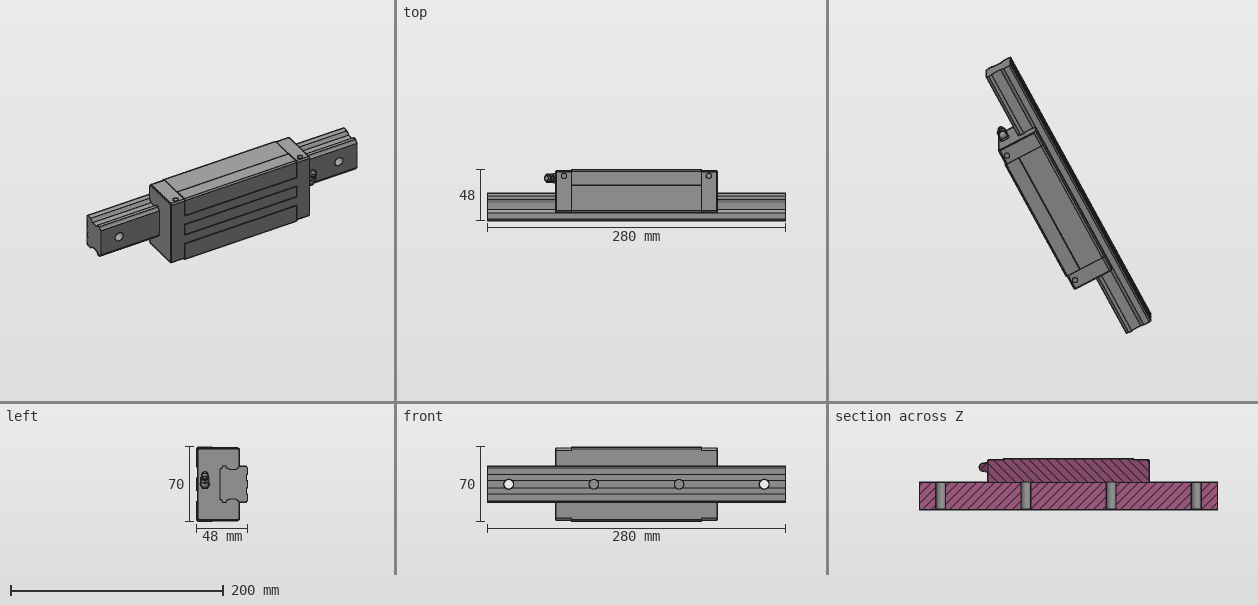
import cadquery as cq
import math


rail_length = 280.0
rail_height = 26.0
rail_half_width = 17.0
rail_foot_chamfer = 1.5
rail_foot_top = 7.3
rail_neck_half_width = 14.0
rail_neck_bottom = 10.6
rail_neck_top = 16.4
rail_lip_half_width = 14.7
rail_lip_height = 18.7
rail_head_bottom = 20.1
rail_head_top = 23.3
rail_top_half_width = 14.0
race_sag = 0.5
rail_hole_diameter = 9.0
rail_hole_pitch = 80.0
rail_hole_count = 4
underside_groove_inner = 3.7
underside_groove_outer = 9.1
underside_groove_depth = 0.8

carriage_length = 152.0
carriage_top = 48.0
carriage_bottom = 7.6
carriage_bottom_chamfer_height = 1.9
block_length = 122.0
block_half_width = 35.0
block_skirt_half_width = 34.4
block_step_bottom = 33.0
block_step_top = 33.5
block_top_chamfer = 1.5
block_bottom_chamfer_width = 1.2
top_groove_inner = 6.0
top_groove_outer = 16.0
top_groove_depth = 0.8
cap_top = carriage_top - top_groove_depth
cap_half_width = 34.1
cap_top_chamfer = 1.5
cap_bottom_chamfer_width = 2.5
cap_face_chamfer = 0.8
cap_length = (carriage_length - block_length) / 2
plug_recess_diameter = 5.0
plug_recess_depth = 0.5
plug_x = 68.0
plug_y = 42.2

nipple_y = 40.0
nipple_hex_flats = 8.0
nipple_hex_thickness = 2.0
nipple_ball_radius = 3.9
nipple_neck_radius = 3.7
nipple_elbow_reach = 4.0
nipple_head_angle = 67.0
nipple_collar_bottom = 2.8
nipple_collar_top = 5.8
nipple_waist_radius = 2.6
nipple_waist_top = 7.0
nipple_head_radius = 3.2
nipple_head_top = 9.3
nipple_tip_radius = 2.1
nipple_tip_top = 11.9


def race_arc(start, end):
    """Midpoint of a shallow concave race between two (z, y) points of the rail's +Z side."""
    chord_z = end[0] - start[0]
    chord_y = end[1] - start[1]
    chord = math.hypot(chord_z, chord_y)
    middle_z = (start[0] + end[0]) / 2 - race_sag * chord_y / chord
    middle_y = (start[1] + end[1]) / 2 + race_sag * chord_z / chord
    return middle_z, middle_y


def along_x(profile, length):
    """Extrude a closed (z, y) sketch along X, centred on X = 0."""
    return profile.extrude(length / 2, both=True)


def side_plane():
    """Sketch plane across the guide: local x is +Z, local y is +Y."""
    return cq.Workplane(cq.Plane(origin=(0, 0, 0), xDir=(0, 0, 1), normal=(-1, 0, 0)))


def symmetric_prism(right_side, length):
    """Prism along X from the (z, y) points of the +Z side, listed upward and mirrored to -Z."""
    left_side = [(-z, y) for z, y in reversed(right_side)]
    return along_x(side_plane().polyline(right_side + left_side).close(), length)


def slot_strip(inner, outer, y_low, y_high, length):
    """Two mirrored rectangular strips along X between |Z| = inner and outer."""
    return along_x(
        side_plane()
        .pushPoints([(side * (inner + outer) / 2, (y_low + y_high) / 2) for side in (-1, 1)])
        .rect(outer - inner, y_high - y_low),
        length,
    )


def rail_solid(length):
    """Rail section without holes or underside grooves."""
    lip = (rail_lip_half_width, rail_lip_height)
    head_low = (rail_half_width, rail_head_bottom)
    head_high = (rail_half_width, rail_head_top)
    top_corner = (rail_top_half_width, rail_height)
    half = along_x(
        side_plane()
        .moveTo(0, 0)
        .lineTo(rail_half_width - rail_foot_chamfer, 0)
        .lineTo(rail_half_width, rail_foot_chamfer)
        .lineTo(rail_half_width, rail_foot_top)
        .lineTo(rail_neck_half_width, rail_neck_bottom)
        .lineTo(rail_neck_half_width, rail_neck_top)
        .lineTo(*lip)
        .threePointArc(race_arc(lip, head_low), head_low)
        .lineTo(*head_high)
        .threePointArc(race_arc(head_high, top_corner), top_corner)
        .lineTo(0, rail_height)
        .close(),
        length,
    )
    return half.union(half.mirror("XY")).clean()


def make_rail():
    """Rail with two shallow underside grooves and a row of mounting holes along Y."""
    rail = rail_solid(rail_length)
    rail = rail.cut(
        slot_strip(
            underside_groove_inner, underside_groove_outer, 0, underside_groove_depth, rail_length
        )
    )
    first_hole = -rail_hole_pitch * (rail_hole_count - 1) / 2
    holes = (
        cq.Workplane("XZ")
        .pushPoints([(first_hole + i * rail_hole_pitch, 0) for i in range(rail_hole_count)])
        .circle(rail_hole_diameter / 2)
        .extrude(-rail_height)
    )
    return rail.cut(holes)


def make_block():
    """Steel block with a stepped side and two shallow grooves in its top face."""
    right_side = [
        (block_skirt_half_width - block_bottom_chamfer_width, carriage_bottom),
        (block_skirt_half_width, carriage_bottom + carriage_bottom_chamfer_height),
        (block_skirt_half_width, block_step_bottom),
        (block_half_width, block_step_top),
        (block_half_width, carriage_top - block_top_chamfer),
        (block_half_width - block_top_chamfer, carriage_top),
    ]
    block = symmetric_prism(right_side, block_length)
    return block.cut(
        slot_strip(top_groove_inner, top_groove_outer, cap_top, carriage_top, block_length)
    )


def make_cap(side):
    """End cap on the -X (side = -1) or +X (side = 1) end of the block."""
    top_right = [
        (cap_half_width, cap_top - cap_top_chamfer),
        (cap_half_width - cap_top_chamfer, cap_top),
    ]
    square_right = [(cap_half_width, carriage_bottom)]
    chamfered_right = [
        (cap_half_width - cap_bottom_chamfer_width, carriage_bottom),
        (cap_half_width, carriage_bottom + carriage_bottom_chamfer_height),
    ]
    cap = symmetric_prism(square_right + top_right, cap_length)
    end_face = cap.faces("<X" if side < 0 else ">X")
    cap = end_face.edges("not <Y").chamfer(cap_face_chamfer)
    cap = cap.intersect(symmetric_prism(chamfered_right + top_right, cap_length))
    cap = cap.translate((side * (block_length + cap_length) / 2, 0, 0))
    for z_side in (-1, 1):
        recess = (
            cq.Workplane("XY", origin=(side * plug_x, plug_y, z_side * cap_half_width))
            .circle(plug_recess_diameter / 2)
            .extrude(-z_side * plug_recess_depth)
        )
        cap = cap.cut(recess)
    return cap


def make_carriage():
    """Block and two end caps in one piece, with the rail section cut through."""
    carriage = make_block()
    for side in (-1, 1):
        carriage = carriage.union(make_cap(side))
    return carriage.cut(rail_solid(carriage_length))


def make_nipple():
    """Grease nipple: hexagon on the end face, ball elbow, and a head leaning out from +Z."""
    face_x = -carriage_length / 2
    elbow_x = face_x - nipple_elbow_reach
    mount = cq.Workplane(cq.Plane(origin=(face_x, nipple_y, 0), xDir=(0, 1, 0), normal=(-1, 0, 0)))
    flange_corner_diameter = nipple_hex_flats / math.cos(math.pi / 6)
    flange = mount.polygon(6, flange_corner_diameter).extrude(nipple_hex_thickness)
    neck = mount.circle(nipple_neck_radius).extrude(nipple_elbow_reach)
    ball_top = math.sqrt(nipple_ball_radius ** 2 - nipple_waist_radius ** 2)
    head = (
        cq.Workplane("XZ")
        .moveTo(0, -nipple_ball_radius)
        .threePointArc((nipple_ball_radius, 0), (nipple_waist_radius, ball_top))
        .lineTo(nipple_waist_radius, nipple_waist_top)
        .lineTo(nipple_head_radius, nipple_waist_top)
        .lineTo(nipple_head_radius, nipple_head_top)
        .lineTo(nipple_tip_radius, nipple_tip_top)
        .lineTo(0, nipple_tip_top)
        .close()
        .revolve(360, (0, 0, 0), (0, 1, 0))
    )
    collar = (
        cq.Workplane("XY", origin=(0, 0, nipple_collar_bottom))
        .polygon(6, flange_corner_diameter)
        .extrude(nipple_collar_top - nipple_collar_bottom)
    )
    head = head.union(collar)
    head = head.rotate((0, 0, 0), (0, 1, 0), nipple_head_angle - 90)
    head = head.translate((elbow_x, nipple_y, 0))
    return flange.union(neck).union(head)


rail = make_rail()
carriage = make_carriage()
nipple = make_nipple()

result = cq.Compound.makeCompound([rail.val(), carriage.val(), nipple.val()])